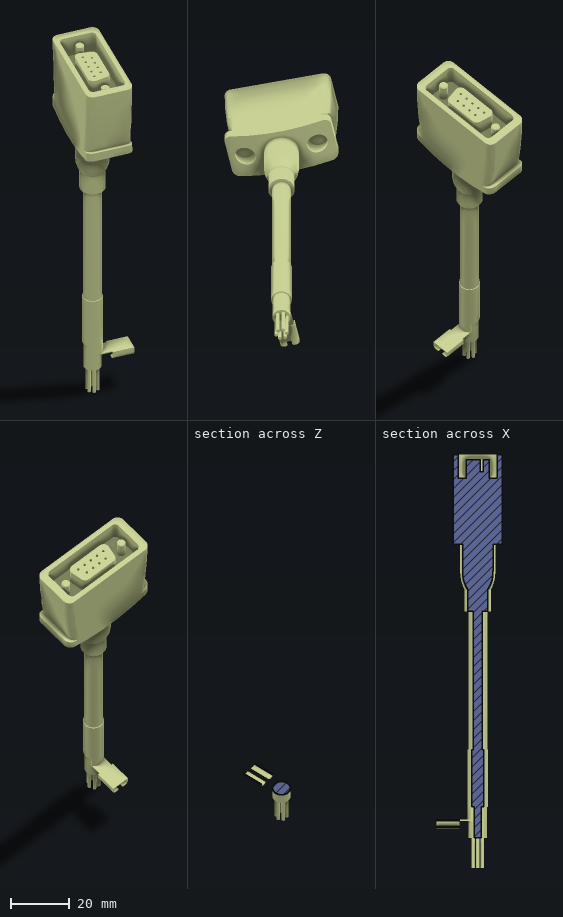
import cadquery as cq
import math

total_height = 140.7

hood_width = 37.0
hood_depth = 16.7
corner_radius = 2.5
hood_bottom_z = 110.0
hood_bottom_rise = 3.1
flange_thickness = 3.4
grip_inset = 1.7

cavity_width = 31.2
cavity_depth = 13.1
cavity_corner_radius = 1.5
socket_depth = 7.9
insert_recess = 1.5
cavity_floor_z = total_height - socket_depth
insert_top_z = total_height - insert_recess
insert_top_width = 14.4
insert_bottom_width = 17.3
insert_height = 7.9
insert_corner_radius = 2.0
contact_diameter = 0.91
contact_depth = 4.2
upper_contacts = 4
lower_contacts = 5
contact_pitch = 2.8
contact_row_spacing = 2.8
screw_offset = 12.5
screw_diameter = 3.0
screw_chamfer = 0.3
screw_access_diameter = 7.0
screw_access_depth = 5.6

boot_diameter = 12.0
boot_neck_diameter = 9.0
boot_shoulder_z = 100.3
boot_neck_z = 94.8
boot_end_z = 87.2
cable_diameter = 6.5
sleeve_diameter = 7.0
sleeve_top_z = 40.2
sleeve_bottom_z = 20.7
jacket_diameter = 6.2
jacket_end_z = 10.1

wire_count = 6
wire_diameter = 1.2
wire_circle_radius = 1.8

strip_width = 5.3
strip_thickness = 0.4
terminal_top_z = 16.5
terminal_width = 6.6
terminal_start_y = 6.2
terminal_reach = 22.4
terminal_end_y = terminal_reach - hood_depth / 2
terminal_wall = 0.4
terminal_side_height = 1.8
terminal_curl_radius = 1.4
terminal_curl_angle = 140.0


def cylinder_between(diameter, bottom_z, top_z, x=0.0, y=0.0):
    """Vertical cylinder spanning two heights."""
    return cq.Workplane("XY", origin=(x, y, bottom_z)).circle(diameter / 2).extrude(top_z - bottom_z)


def rounded_block(width, depth, radius, bottom_z, top_z):
    """Upright block with rounded vertical edges."""
    height = top_z - bottom_z
    block = cq.Workplane("XY", origin=(0, 0, bottom_z)).rect(width, depth).extrude(height)
    return block.edges("|Z").fillet(radius)


def arched_band(thickness):
    """Prism of the hood's full depth, arched alike on its underside and its top."""
    half = hood_width / 2
    low = hood_bottom_z
    high = low + hood_bottom_rise
    return (
        cq.Workplane("XZ")
        .moveTo(-half, high)
        .threePointArc((0, low), (half, high))
        .lineTo(half, high + thickness)
        .threePointArc((0, low + thickness), (-half, high + thickness))
        .close()
        .extrude(hood_depth / 2, both=True)
    )


def make_hood():
    """Body with bowed flanks standing on an arched flange."""
    half = hood_width / 2
    hood_height = total_height - hood_bottom_z
    flange_edge_z = hood_bottom_z + hood_bottom_rise + flange_thickness
    flank_height = total_height - flange_edge_z
    flank_radius = (flank_height**2 + grip_inset**2) / (2 * grip_inset)

    def flank_point(drop):
        inset = flank_radius - math.sqrt(flank_radius**2 - drop**2)
        return half - inset, total_height - drop

    middle_x, middle_z = flank_point(hood_height / 2)
    bottom_x, bottom_z = flank_point(hood_height)
    body = (
        cq.Workplane("XZ")
        .moveTo(-half, total_height)
        .lineTo(half, total_height)
        .threePointArc((middle_x, middle_z), (bottom_x, bottom_z))
        .lineTo(-bottom_x, bottom_z)
        .threePointArc((-middle_x, middle_z), (-half, total_height))
        .close()
        .extrude(hood_depth / 2, both=True)
    )
    body = body.faces("<X or >X").edges("not(|Y)").fillet(corner_radius)
    body = body.intersect(arched_band(hood_height))
    flange = rounded_block(hood_width, hood_depth, corner_radius, hood_bottom_z, total_height)
    flange = flange.intersect(arched_band(flange_thickness))
    return body.union(flange)


def make_insert():
    """D-shaped contact block with nine contact holes in two rows."""
    top_half = insert_top_width / 2
    bottom_half = insert_bottom_width / 2
    y_half = insert_height / 2
    block = (
        cq.Workplane("XY", origin=(0, 0, cavity_floor_z))
        .polyline([(-top_half, y_half), (top_half, y_half), (bottom_half, -y_half), (-bottom_half, -y_half)])
        .close()
        .extrude(insert_top_z - cavity_floor_z)
        .edges("|Z")
        .fillet(insert_corner_radius)
    )
    hole_floor_z = insert_top_z - contact_depth
    for count, y in ((upper_contacts, contact_row_spacing / 2), (lower_contacts, -contact_row_spacing / 2)):
        for index in range(count):
            x = (index - (count - 1) / 2) * contact_pitch
            block = block.cut(cylinder_between(contact_diameter, hole_floor_z, insert_top_z, x, y))
    return block


def make_connector():
    """Hood with its socket, contact block, locking screws and screw access holes."""
    connector = make_hood()
    connector = connector.cut(
        rounded_block(cavity_width, cavity_depth, cavity_corner_radius, cavity_floor_z, total_height)
    )
    connector = connector.union(make_insert())
    access_top_z = hood_bottom_z + screw_access_depth
    for x in (-screw_offset, screw_offset):
        screw = cylinder_between(screw_diameter, cavity_floor_z, insert_top_z, x)
        connector = connector.union(screw.faces(">Z").chamfer(screw_chamfer))
        connector = connector.cut(cylinder_between(screw_access_diameter, hood_bottom_z, access_top_z, x))
    return connector


def make_boot():
    """Revolved boot that rounds down from the shoulder to the neck."""
    outer = boot_diameter / 2
    neck = boot_neck_diameter / 2
    top_z = hood_bottom_z + hood_bottom_rise
    drop = boot_shoulder_z - boot_neck_z
    inset = outer - neck
    arc_radius = (drop**2 + inset**2) / (2 * inset)
    mid_r = outer - arc_radius + math.sqrt(arc_radius**2 - (drop / 2) ** 2)
    return (
        cq.Workplane("XZ")
        .moveTo(0, top_z)
        .lineTo(outer, top_z)
        .lineTo(outer, boot_shoulder_z)
        .threePointArc((mid_r, boot_shoulder_z - drop / 2), (neck, boot_neck_z))
        .lineTo(neck, boot_end_z)
        .lineTo(0, boot_end_z)
        .close()
        .revolve(360, (0, 0, 0), (0, 1, 0))
    )


def make_cable():
    """Cable, sleeve, stripped jacket and the ring of bare wires."""
    cable = cylinder_between(cable_diameter, sleeve_top_z, boot_end_z)
    cable = cable.union(cylinder_between(sleeve_diameter, sleeve_bottom_z, sleeve_top_z))
    cable = cable.union(cylinder_between(jacket_diameter, jacket_end_z, sleeve_bottom_z))
    for index in range(wire_count):
        angle = 2 * math.pi * index / wire_count
        x = wire_circle_radius * math.cos(angle)
        y = wire_circle_radius * math.sin(angle)
        cable = cable.union(cylinder_between(wire_diameter, 0, jacket_end_z, x, y))
    return cable


def make_strip():
    """Shield strip running down the jacket and bending out to the terminal."""
    bottom_z = terminal_top_z - strip_thickness
    wrap = cylinder_between(sleeve_diameter, bottom_z, sleeve_bottom_z)
    wrap = wrap.intersect(
        cq.Workplane("XY").box(strip_width, sleeve_diameter, total_height, centered=(True, False, False))
    )
    tab = cq.Workplane("XY", origin=(0, 0, bottom_z)).box(
        strip_width, terminal_start_y, strip_thickness, centered=(True, False, False)
    )
    return wrap.union(tab)


def make_terminal():
    """Flat terminal whose two side walls roll inward at the bottom."""
    half = terminal_width / 2
    curl_z = terminal_top_z - terminal_side_height
    centre_x = half - terminal_curl_radius
    inner_radius = terminal_curl_radius - terminal_wall
    length = terminal_end_y - terminal_start_y

    def curl_point(radius, fraction):
        angle = math.radians(terminal_curl_angle * fraction)
        return (centre_x + radius * math.cos(angle), curl_z - radius * math.sin(angle))

    plate = cq.Workplane("XY", origin=(0, terminal_start_y, terminal_top_z - terminal_wall)).box(
        terminal_width, length, terminal_wall, centered=(True, False, False)
    )
    side_wall = (
        cq.Workplane("XZ", origin=(0, terminal_end_y, 0))
        .moveTo(half, terminal_top_z)
        .lineTo(half, curl_z)
        .threePointArc(curl_point(terminal_curl_radius, 0.5), curl_point(terminal_curl_radius, 1))
        .lineTo(*curl_point(inner_radius, 1))
        .threePointArc(curl_point(inner_radius, 0.5), curl_point(inner_radius, 0))
        .lineTo(half - terminal_wall, terminal_top_z)
        .close()
        .extrude(length)
    )
    return plate.union(side_wall).union(side_wall.mirror("YZ"))


result = (
    make_connector()
    .union(make_boot())
    .union(make_cable())
    .union(make_strip())
    .union(make_terminal())
)